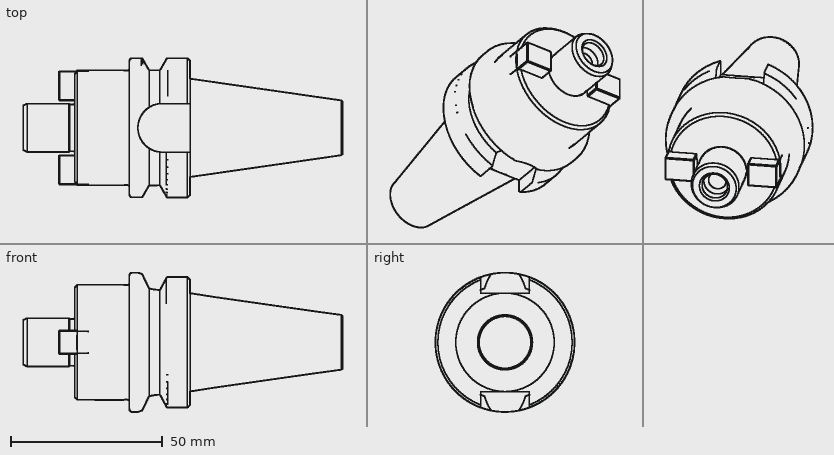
import cadquery as cq
import math

total_length = 105.4
body_face_x = 17.0
flange_front_x = 35.0
groove_start_x = 41.5
groove_end_x = 45.1
flange_rear_x = 55.0

pilot_radius = 16.0 / 2
pilot_neck_radius = 15.5 / 2
body_radius = 38.0 / 2
body_neck_radius = 37.8 / 2
flange_radius = 46.0 / 2
groove_radius = 38.0 / 2
taper_large_radius = 16.2
taper_small_radius = 9.1

pilot_chamfer_length = 1.4
pilot_chamfer_depth = 0.69
body_chamfer = 1.0
flange_blend = 1.0
flange_rear_chamfer = 0.8
groove_edge_radius = 0.5
taper_chamfer = 0.5

pilot_neck_start_x = 15.1
pilot_neck_step = pilot_radius - pilot_neck_radius
face_recess_radius = 9.5
face_recess_depth = 0.2
pilot_neck_blend = 0.6
body_neck_length = 0.6
flange_recess_radius = 21.1
flange_recess_depth = 0.2

groove_half_angle = math.radians(30)
groove_flank_run = (flange_radius - groove_radius) * math.tan(groove_half_angle)
groove_edge_setback = groove_edge_radius * math.tan(math.radians(90) / 2 - groove_half_angle / 2)

hole_radius = 8.5 / 2
hole_mouth_radius = 10.0 / 2
hole_depth = 4.1
hole_bottom_radius = 3.0

key_front_x = 11.8
key_rear_x = 21.5
key_inner_y = 9.0
key_radial_inset = 0.3
key_outer_y = body_radius - key_radial_inset
key_width = 7.9
key_chamfer = 0.3

slot_width = 16.0
slot_tip_x = 37.8
slot_floor_z = taper_large_radius


def turned_shape():
    """Pilot, body, grooved flange and taper as one revolved outline."""
    face_recess_x = body_face_x + face_recess_depth
    flange_recess_x = flange_front_x + flange_recess_depth
    neck_end_x = flange_recess_x - flange_blend
    neck_start_x = neck_end_x - body_neck_length
    blend_outer_radius = flange_radius - flange_blend
    flank_top_x = groove_start_x - groove_flank_run
    rear_flank_top_x = groove_end_x + groove_flank_run
    round_drop = groove_edge_setback * math.cos(groove_half_angle)
    round_run = groove_edge_setback * math.sin(groove_half_angle)
    outline = (
        cq.Workplane("XY")
        .moveTo(0, 0)
        .lineTo(0, pilot_radius - pilot_chamfer_depth)
        .lineTo(pilot_chamfer_length, pilot_radius)
        .lineTo(pilot_neck_start_x, pilot_radius)
        .lineTo(pilot_neck_start_x + pilot_neck_step, pilot_neck_radius)
        .lineTo(face_recess_x - pilot_neck_blend, pilot_neck_radius)
        .radiusArc((face_recess_x, pilot_neck_radius + pilot_neck_blend), -pilot_neck_blend)
        .lineTo(body_face_x, face_recess_radius)
        .lineTo(body_face_x, body_radius - body_chamfer)
        .lineTo(body_face_x + body_chamfer, body_radius)
        .lineTo(neck_start_x - body_neck_length, body_radius)
        .lineTo(neck_start_x, body_neck_radius)
        .lineTo(neck_end_x, body_neck_radius)
        .radiusArc((flange_recess_x, body_neck_radius + flange_blend), -flange_blend)
        .lineTo(flange_front_x, flange_recess_radius)
        .lineTo(flange_front_x, blend_outer_radius)
        .radiusArc((flange_front_x + flange_blend, flange_radius), flange_blend)
        .lineTo(flank_top_x - groove_edge_setback, flange_radius)
        .radiusArc((flank_top_x + round_run, flange_radius - round_drop), groove_edge_radius)
        .lineTo(groove_start_x, groove_radius)
        .lineTo(groove_end_x, groove_radius)
        .lineTo(rear_flank_top_x - round_run, flange_radius - round_drop)
        .radiusArc((rear_flank_top_x + groove_edge_setback, flange_radius), groove_edge_radius)
        .lineTo(flange_rear_x - flange_rear_chamfer, flange_radius)
        .lineTo(flange_rear_x, flange_radius - flange_rear_chamfer)
        .lineTo(flange_rear_x, taper_large_radius)
        .lineTo(total_length - taper_chamfer, taper_small_radius)
        .lineTo(total_length, taper_small_radius - taper_chamfer)
        .lineTo(total_length, 0)
        .close()
    )
    return outline.revolve(360, (0, 0, 0), (1, 0, 0))


def screw_hole():
    """Blind hole with a countersunk mouth and a conical bottom ending in a flat."""
    mouth_depth = hole_mouth_radius - hole_radius
    bottom_x = hole_depth + hole_radius - hole_bottom_radius
    outline = (
        cq.Workplane("XY")
        .moveTo(0, 0)
        .lineTo(0, hole_mouth_radius)
        .lineTo(mouth_depth, hole_radius)
        .lineTo(hole_depth, hole_radius)
        .lineTo(bottom_x, hole_bottom_radius)
        .lineTo(bottom_x, 0)
        .close()
    )
    return outline.revolve(360, (0, 0, 0), (1, 0, 0))


def drive_key(side):
    """Chamfered block seated in the body, on the +Y (1) or -Y (-1) side."""
    key = cq.Workplane("XY").box(key_rear_x - key_front_x, key_outer_y - key_inner_y, key_width)
    key = key.edges("<X or |X").chamfer(key_chamfer)
    center_x = (key_front_x + key_rear_x) / 2
    center_y = side * (key_inner_y + key_outer_y) / 2
    return key.translate((center_x, center_y, 0))


def drive_slot(side):
    """Round-ended slot, open through the rear of the flange, on the +Z (1) or -Z (-1) side."""
    end_radius = slot_width / 2
    end_center_x = slot_tip_x + end_radius
    slot = (
        cq.Workplane("XY", origin=(0, 0, slot_floor_z))
        .moveTo(flange_rear_x, -end_radius)
        .lineTo(end_center_x, -end_radius)
        .threePointArc((slot_tip_x, 0), (end_center_x, end_radius))
        .lineTo(flange_rear_x, end_radius)
        .close()
        .extrude(flange_radius)
    )
    return slot if side > 0 else slot.mirror("XY")


result = turned_shape().cut(screw_hole())
for side in (1, -1):
    result = result.union(drive_key(side))
    result = result.cut(drive_slot(side))